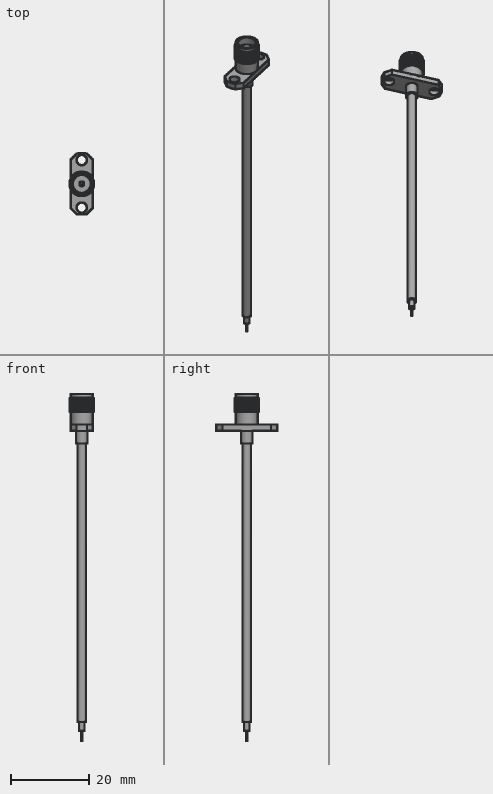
import cadquery as cq

TOTAL_HEIGHT = 88.9
CORE_END = 2.6
JACKET_END = 4.9
FERRULE_BOTTOM = 76.2
FLANGE_BOTTOM = 79.4
FLANGE_THICKNESS = 1.7
FLANGE_TOP = FLANGE_BOTTOM + FLANGE_THICKNESS

WIRE_DIAMETER = 0.45
CORE_DIAMETER = 1.4
JACKET_DIAMETER = 2.2

FLANGE_WIDTH = 5.7
FLANGE_LENGTH = 15.8
CORNER_CUT = 1.7
END_BULGE = 0.13
HOLE_DIAMETER = 2.6
HOLE_SPACING = 12.2

FERRULE_DIAMETER = 3.0
BARREL_DIAMETER = 5.7
THREAD_DIAMETER = 6.3
THREAD_PITCH = 0.64
THREAD_COUNT = 6
THREAD_CREST = 0.1
THREAD_ROOT = 0.1
THREAD_BOTTOM = 84.2

BORE_DIAMETER = 4.6
BORE_DEPTH = 2.1
CONTACT_MOUTH_DIAMETER = 1.25
CONTACT_MOUTH_DEPTH = 0.3
CONTACT_HOLE_DIAMETER = 0.8
CONTACT_DEPTH = 2.0
BORE_FLOOR = TOTAL_HEIGHT - BORE_DEPTH


def cylinder(diameter, bottom, top):
    """Upright cylinder on the Z axis between two heights."""
    return cq.Workplane("XY").workplane(offset=bottom).circle(diameter / 2).extrude(top - bottom)


def make_flange():
    """Flat plate with cut corners, slightly rounded ends and two mounting holes."""
    side_x = FLANGE_WIDTH / 2
    end_y = FLANGE_LENGTH / 2
    side_y = end_y - CORNER_CUT
    arc_x = side_x - (CORNER_CUT - END_BULGE)
    arc_y = end_y - END_BULGE
    plate = (
        cq.Workplane("XY")
        .workplane(offset=FLANGE_BOTTOM)
        .moveTo(side_x, -side_y)
        .lineTo(side_x, side_y)
        .lineTo(arc_x, arc_y)
        .threePointArc((0, end_y), (-arc_x, arc_y))
        .lineTo(-side_x, side_y)
        .lineTo(-side_x, -side_y)
        .lineTo(-arc_x, -arc_y)
        .threePointArc((0, -end_y), (arc_x, -arc_y))
        .close()
        .extrude(FLANGE_THICKNESS)
    )
    hole_centers = [(0, -HOLE_SPACING / 2), (0, HOLE_SPACING / 2)]
    return plate.faces(">Z").workplane(origin=(0, 0, 0)).pushPoints(hole_centers).hole(HOLE_DIAMETER)


def make_threaded_barrel():
    """Barrel with a stack of identical V-shaped thread rings, revolved about Z."""
    radius = BARREL_DIAMETER / 2
    crest_radius = THREAD_DIAMETER / 2
    flank_height = (THREAD_PITCH - THREAD_CREST - THREAD_ROOT) / 2
    profile = cq.Workplane("XZ").moveTo(0, FLANGE_TOP).lineTo(radius, FLANGE_TOP)
    for index in range(THREAD_COUNT):
        root = THREAD_BOTTOM + index * THREAD_PITCH
        profile = (
            profile.lineTo(radius, root)
            .lineTo(crest_radius, root + flank_height)
            .lineTo(crest_radius, root + flank_height + THREAD_CREST)
            .lineTo(radius, root + 2 * flank_height + THREAD_CREST)
        )
    profile = profile.lineTo(radius, TOTAL_HEIGHT).lineTo(0, TOTAL_HEIGHT).close()
    return profile.revolve(360, (0, 0, 0), (0, 1, 0))


def make_connector():
    """Connector with flange, threaded barrel and ferrule, bored from the top for its mate."""
    contact_floor = BORE_FLOOR - CONTACT_DEPTH
    return (
        make_flange()
        .union(make_threaded_barrel())
        .union(cylinder(FERRULE_DIAMETER, FERRULE_BOTTOM, FLANGE_BOTTOM))
        .cut(cylinder(BORE_DIAMETER, BORE_FLOOR, TOTAL_HEIGHT))
        .cut(cylinder(CONTACT_MOUTH_DIAMETER, BORE_FLOOR - CONTACT_MOUTH_DEPTH, BORE_FLOOR))
        .cut(cylinder(CONTACT_HOLE_DIAMETER, contact_floor, BORE_FLOOR))
    )


def make_cable():
    """Cable with its jacket, dielectric core and wire stripped back in steps."""
    return (
        cylinder(JACKET_DIAMETER, JACKET_END, FERRULE_BOTTOM)
        .union(cylinder(CORE_DIAMETER, CORE_END, JACKET_END))
        .union(cylinder(WIRE_DIAMETER, 0, CORE_END))
    )


connector = make_connector()
cable = make_cable()
result = cq.Compound.makeCompound([connector.val(), cable.val()])